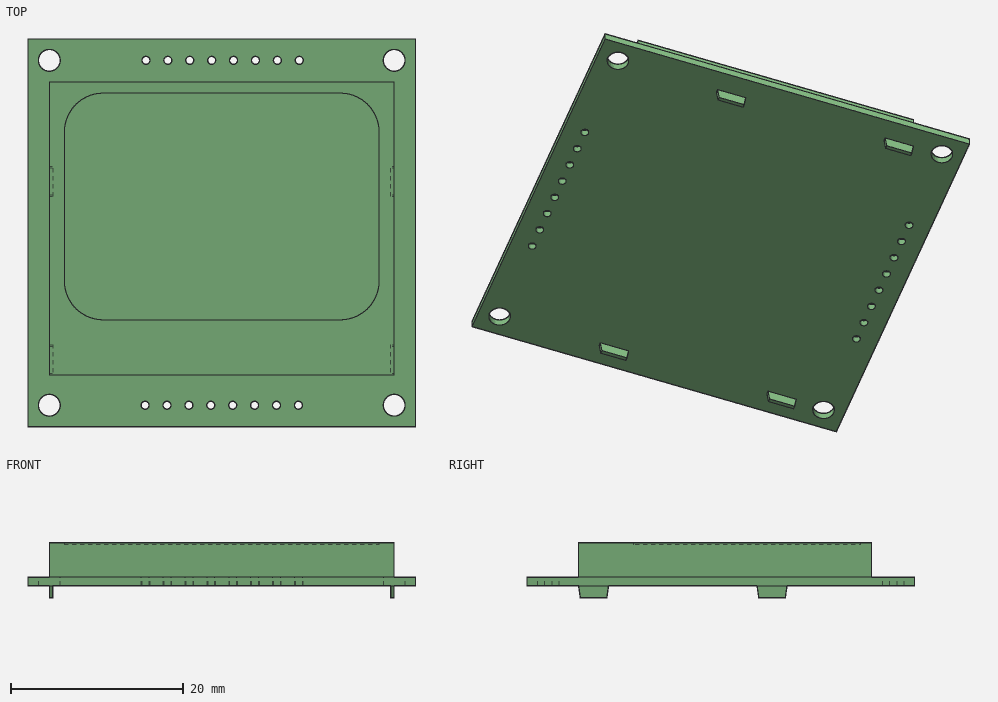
import cadquery as cq

board_side = 45.0
board_thickness = 1.0

mount_hole_diameter = 2.5
mount_hole_inset = 2.5
mount_hole_offset = board_side / 2 - mount_hole_inset

pin_count = 8
pin_pitch = 2.54
pin_hole_diameter = 0.9
pin_row_y = mount_hole_offset
front_row_center_x = 0.0
back_row_center_x = 0.1

housing_width = 40.0
housing_depth = 34.0
housing_height = 4.0
housing_center_y = 0.5
housing_top = board_thickness + housing_height

window_width = 36.5
window_depth = 26.3
window_corner_radius = 4.5
window_recess = 0.2
window_back_margin = 1.3
window_center_y = housing_center_y + housing_depth / 2 - window_back_margin - window_depth / 2

tab_thickness = 0.4
tab_length = 3.5
tab_drop = 1.4
tab_end_taper = 0.2
tab_spacing = 20.7
front_tab_center_y = housing_center_y - housing_depth / 2 + tab_length / 2
tab_centers_y = (front_tab_center_y, front_tab_center_y + tab_spacing)


def make_board():
    """Square board with its corner holes and both pin rows."""
    board = cq.Workplane("XY").rect(board_side, board_side).extrude(board_thickness)
    mount_span = 2 * mount_hole_offset
    mount_holes = (
        cq.Workplane("XY")
        .rect(mount_span, mount_span, forConstruction=True)
        .vertices()
        .circle(mount_hole_diameter / 2)
        .extrude(board_thickness)
    )
    front_pins = make_pin_holes(front_row_center_x, -pin_row_y)
    back_pins = make_pin_holes(back_row_center_x, pin_row_y)
    return board.cut(mount_holes).cut(front_pins).cut(back_pins)


def make_pin_holes(center_x, center_y):
    """Cylinders for one row of pin holes along X."""
    return (
        cq.Workplane("XY")
        .center(center_x, center_y)
        .rarray(pin_pitch, 1, pin_count, 1)
        .circle(pin_hole_diameter / 2)
        .extrude(board_thickness)
    )


def make_housing():
    """Rectangular housing with the recessed, round-cornered window."""
    housing = (
        cq.Workplane("XY", origin=(0, housing_center_y, board_thickness))
        .rect(housing_width, housing_depth)
        .extrude(housing_height)
    )
    window = (
        cq.Workplane("XY", origin=(0, window_center_y, housing_top))
        .rect(window_width, window_depth)
        .extrude(-window_recess)
        .edges("|Z")
        .fillet(window_corner_radius)
    )
    return housing.cut(window)


def make_tab(inner_x, center_y):
    """Trapezoidal tab hanging from the board, narrowing downwards."""
    half_root = tab_length / 2
    half_tip = half_root - tab_end_taper
    return (
        cq.Workplane("YZ", origin=(inner_x, center_y, 0))
        .moveTo(-half_root, 0)
        .lineTo(half_root, 0)
        .lineTo(half_tip, -tab_drop)
        .lineTo(-half_tip, -tab_drop)
        .close()
        .extrude(tab_thickness)
    )


result = make_board().union(make_housing())
left_tab_x = -housing_width / 2
right_tab_x = housing_width / 2 - tab_thickness
for tab_center_y in tab_centers_y:
    for tab_x in (left_tab_x, right_tab_x):
        result = result.union(make_tab(tab_x, tab_center_y))